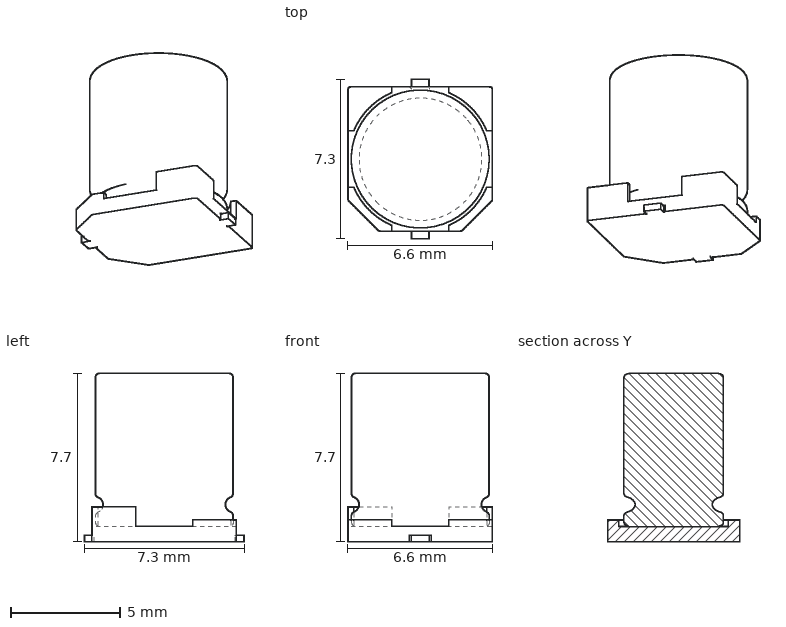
import cadquery as cq
import math

base_width = 6.6
base_half = base_width / 2
front_corner_flat = 2.0
front_corner_cut = front_corner_flat / math.sqrt(2)
base_corner_radius = 0.13
floor_height = 0.7
front_post_height = 1.0
rear_post_height = 1.6
post_gap_width = 2.6
post_bore_radius = base_half

lead_length = 7.3
lead_width = 0.82
lead_height = 0.3
lead_mouth_flare = 0.09

can_top = 7.7
can_radius = 3.15
can_end_radius = 0.2
groove_height = 1.7
groove_radius = 0.35
groove_lip_radius = 0.2


def base_outline():
    """Square with its two -Y corners cut off, extruded to the full post height."""
    cut_end = base_half - front_corner_cut
    return (
        cq.Workplane("XY")
        .moveTo(-cut_end, -base_half)
        .lineTo(cut_end, -base_half)
        .lineTo(base_half, -cut_end)
        .lineTo(base_half, base_half)
        .lineTo(-base_half, base_half)
        .lineTo(-base_half, -cut_end)
        .close()
        .extrude(rear_post_height)
        .edges("|Z")
        .fillet(base_corner_radius)
    )


def space_above(height, width, depth):
    """Box that clears everything above the given height."""
    return (
        cq.Workplane("XY")
        .workplane(offset=height)
        .rect(width, depth)
        .extrude(rear_post_height - height)
    )


def lead_mouth(side):
    """Flared opening around a lead where it leaves the base; side is -1 or +1 along Y."""
    face_y = side * base_half
    inner_y = face_y - side * lead_mouth_flare
    inner_x = lead_width / 2
    outer_x = inner_x + lead_mouth_flare
    return (
        cq.Workplane("XY")
        .polyline([(-inner_x, inner_y), (inner_x, inner_y), (outer_x, face_y), (-outer_x, face_y)])
        .close()
        .extrude(lead_height)
    )


def make_base():
    """Base with a tall pair of rear posts, a low pair of front posts and two leads."""
    base = base_outline()

    front_space = space_above(front_post_height, base_width, base_half)
    base = base.cut(front_space.translate((0, -base_half / 2, 0)))

    seat = (
        cq.Workplane("XY")
        .workplane(offset=floor_height)
        .circle(post_bore_radius)
        .extrude(rear_post_height - floor_height)
    )
    base = base.cut(seat)
    base = base.cut(space_above(floor_height, base_width, post_gap_width))
    base = base.cut(space_above(floor_height, post_gap_width, base_width))

    for side in (-1, 1):
        base = base.cut(lead_mouth(side))
    leads = cq.Workplane("XY").rect(lead_width, lead_length).extrude(lead_height)
    return base.union(leads)


def make_can():
    """Cylinder with rounded ends and a rolled groove whose lips blend into the wall."""
    centre_distance = groove_radius + groove_lip_radius
    lip_offset = math.sqrt(centre_distance**2 - groove_lip_radius**2)
    lip_centre_radius = can_radius - groove_lip_radius
    touch_share = groove_radius / centre_distance
    touch_radius = can_radius - groove_lip_radius * touch_share
    touch_offset = lip_offset * touch_share

    groove_angle = math.atan2(lip_offset, groove_lip_radius)
    lip_mid_radius = lip_centre_radius + groove_lip_radius * math.cos(groove_angle / 2)
    lip_mid_rise = groove_lip_radius * math.sin(groove_angle / 2)

    profile = (
        cq.Workplane("XZ")
        .moveTo(0, floor_height)
        .lineTo(can_radius, floor_height)
        .lineTo(can_radius, groove_height - lip_offset)
        .threePointArc(
            (lip_mid_radius, groove_height - lip_offset + lip_mid_rise),
            (touch_radius, groove_height - touch_offset),
        )
        .threePointArc(
            (can_radius - groove_radius, groove_height),
            (touch_radius, groove_height + touch_offset),
        )
        .threePointArc(
            (lip_mid_radius, groove_height + lip_offset - lip_mid_rise),
            (can_radius, groove_height + lip_offset),
        )
        .lineTo(can_radius, can_top)
        .lineTo(0, can_top)
        .close()
    )
    can = profile.revolve(360, (0, 0, 0), (0, 1, 0))
    return can.faces("<Z or >Z").edges().fillet(can_end_radius)


base = make_base()
can = make_can()
result = cq.Compound.makeCompound([base.solids().val(), can.solids().val()])